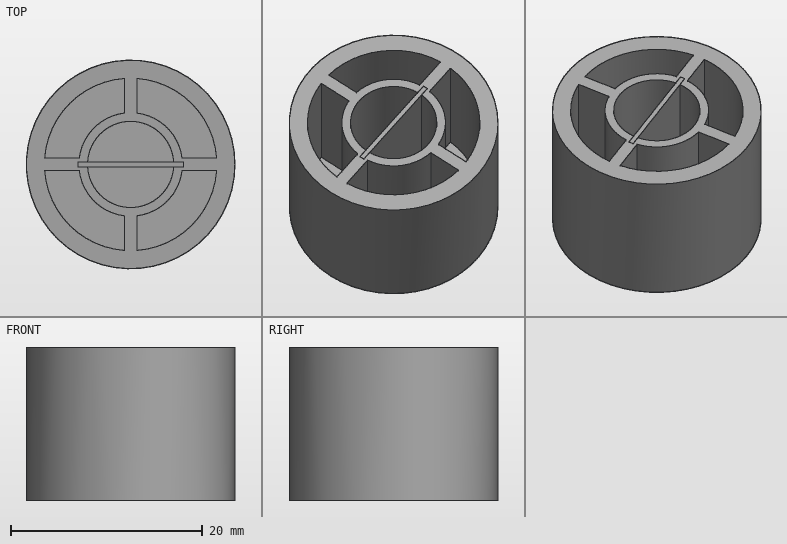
import cadquery as cq

outer_diameter = 21.8
height = 16.0
inner_diameter = 18.0
tube_outer_diameter = 10.81
bore_diameter = 9.0
rib_thickness = 1.3
floor_thickness = (outer_diameter - inner_diameter) / 2

partition_length = 11.0
partition_thickness = 0.5

cavity_depth = height - floor_thickness


def upright_block(length, width):
    """Centred block that fills the cavity from the floor to the rim."""
    return (
        cq.Workplane("XY", origin=(0, 0, floor_thickness))
        .rect(length, width)
        .extrude(cavity_depth)
    )


def make_partition():
    return upright_block(partition_length, partition_thickness)


def make_pockets():
    """Four quarter-ring pockets between the wall, the tube and the ribs."""
    ring = (
        cq.Workplane("XY", origin=(0, 0, floor_thickness))
        .circle(inner_diameter / 2)
        .circle(tube_outer_diameter / 2)
        .extrude(cavity_depth)
    )
    rib_along_x = upright_block(outer_diameter, rib_thickness)
    rib_along_y = upright_block(rib_thickness, outer_diameter)
    return ring.cut(rib_along_x).cut(rib_along_y)


def make_housing():
    body = cq.Workplane("XY").circle(outer_diameter / 2).extrude(height)
    bore = (
        cq.Workplane("XY", origin=(0, 0, floor_thickness))
        .circle(bore_diameter / 2)
        .extrude(cavity_depth)
    )
    return body.cut(make_pockets()).cut(bore).cut(make_partition())


housing = make_housing()
partition = make_partition()

result = cq.Compound.makeCompound([housing.val(), partition.val()])